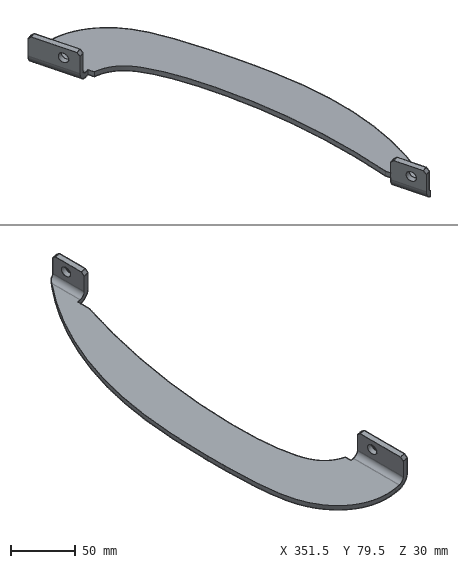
import cadquery as cq

length = 351.5
depth = 79.5
height = 30.0

thickness = 5.0
inner_bend_radius = 5.0
bend_radius = inner_bend_radius + thickness

left_tab_width = 46.0
right_tab_width = 31.5
right_tab_start = length - right_tab_width
corner_chamfer = 2.8
hole_diameter = 9.0
hole_height = 20.0
left_hole_x = 31.3
right_hole_x = 338.0

shoulder_y = 12.5
left_shoulder_end = 51.5
right_shoulder_end = 308.5
outer_start = (0, bend_radius)
outer_left_points = [(13.5, 48.5), (43.0, 69.5), (84.3, 78.0)]
crest = (135.3, depth)
outer_right_points = [(218.0, 73.0), (281.8, 53.8), (319.7, 32.5)]
outer_end = (length, 6.5)
inner_left_points = [(66.0, 28.8), (91.5, 37.2)]
inner_crest = (137.0, 40.8)
inner_right_points = [(210.8, 35.5), (256.5, 27.0)]


def make_bent_sheet():
    """L-shaped section, with a rounded bend, swept along the whole length."""
    return (
        cq.Workplane("YZ")
        .moveTo(depth, 0)
        .lineTo(bend_radius, 0)
        .radiusArc((0, bend_radius), bend_radius)
        .lineTo(0, height)
        .lineTo(thickness, height)
        .lineTo(thickness, bend_radius)
        .radiusArc((bend_radius, thickness), -inner_bend_radius)
        .lineTo(depth, thickness)
        .close()
        .extrude(length)
    )


def make_plan_outline():
    """Curved blade with a foot at each end, as tall as the whole part."""
    inner_curve = [*reversed(inner_right_points), inner_crest]
    inner_curve += [*reversed(inner_left_points), (left_shoulder_end, shoulder_y)]
    return (
        cq.Workplane("XY")
        .lineTo(*outer_start)
        .spline([*outer_left_points, crest, *outer_right_points, outer_end], includeCurrent=True)
        .lineTo(length, 0)
        .lineTo(right_tab_start, 0)
        .lineTo(right_tab_start, shoulder_y)
        .lineTo(right_shoulder_end, shoulder_y)
        .spline(inner_curve, includeCurrent=True)
        .lineTo(left_tab_width, shoulder_y)
        .lineTo(left_tab_width, 0)
        .close()
        .extrude(height)
    )


def make_hole(center_x):
    """Cutter for the mounting hole through an upright tab."""
    return (
        cq.Workplane("XZ")
        .center(center_x, hole_height)
        .circle(hole_diameter / 2)
        .extrude(-thickness)
    )


result = make_bent_sheet().intersect(make_plan_outline())

result = result.edges("|Y and >Z").chamfer(corner_chamfer)

for hole_x in (left_hole_x, right_hole_x):
    result = result.cut(make_hole(hole_x))